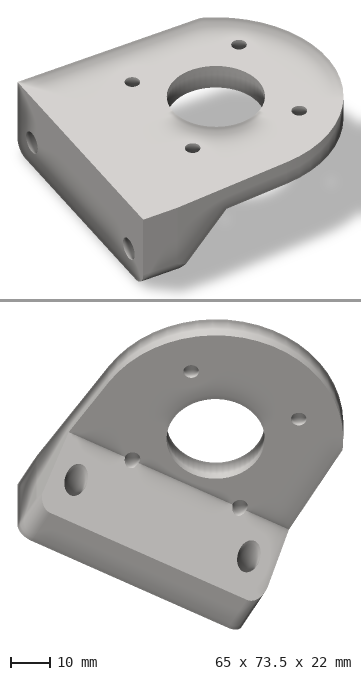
import cadquery as cq
import math

width = 65.0
length = 73.5
height = 22.0
plate_thickness = 7.0

end_radius = 32.5
center_x = 30.0
center_y = length - end_radius
bore_diameter = 25.0
screw_diameter = 4.0
screw_spacing = 31.2

flange_depth = 10.0
flange_corner_radius = 4.0
mount_diameter = 6.0
mount_spacing = 50.05
mount_x = 7.5
mount_z = 7.5
straight_side_length = 10.0

plate_bottom = height - plate_thickness
brace_depth = flange_depth + plate_bottom


def end_point(angle):
    """Point on the rounded end at an angle measured from +X."""
    return (center_x + end_radius * math.cos(angle), center_y + end_radius * math.sin(angle))


def make_outline_body():
    """Full-height body with the plan outline of the bracket."""
    offset_x = width - center_x
    offset_y = straight_side_length - center_y
    corner_distance = math.hypot(offset_x, offset_y)
    tangent_angle = math.atan2(offset_y, offset_x) + math.acos(end_radius / corner_distance)
    left_angle = math.pi - math.acos(center_x / end_radius)
    return (
        cq.Workplane("XY")
        .moveTo(0, 0)
        .lineTo(width, 0)
        .lineTo(width, straight_side_length)
        .lineTo(*end_point(tangent_angle))
        .threePointArc(end_point(math.pi / 2), end_point(left_angle))
        .close()
        .extrude(height)
    )


def make_side_profile():
    """Side profile of plate and braced flange, with rounded lower flange corners."""
    profile = (
        cq.Workplane("YZ")
        .polyline([
            (0, 0),
            (flange_depth, 0),
            (brace_depth, plate_bottom),
            (length, plate_bottom),
            (length, height),
            (0, height),
        ])
        .close()
        .extrude(width)
    )
    front_shape = (
        cq.Workplane("XY")
        .box(width, length, height, centered=False)
        .edges("|Y and <Z")
        .fillet(flange_corner_radius)
    )
    return profile.intersect(front_shape)


def make_plate_holes():
    """Central bore and four screw holes, vertical through the part."""
    center = cq.Workplane("XY").center(center_x, center_y)
    bore = center.circle(bore_diameter / 2).extrude(height)
    screws = (
        center.rect(screw_spacing, screw_spacing, forConstruction=True)
        .vertices()
        .circle(screw_diameter / 2)
        .extrude(height)
    )
    return bore.union(screws)


def make_mount_holes():
    """Two holes running through the flange along Y."""
    return (
        cq.Workplane("XZ")
        .pushPoints([(mount_x, mount_z), (mount_x + mount_spacing, mount_z)])
        .circle(mount_diameter / 2)
        .extrude(-length)
    )


bracket = make_outline_body().intersect(make_side_profile())
result = bracket.cut(make_plate_holes()).cut(make_mount_holes())